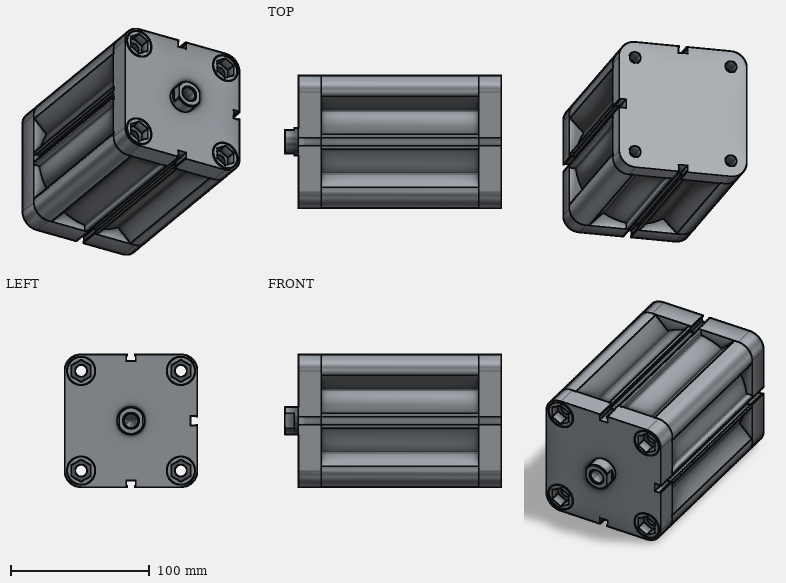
import cadquery as cq
import math


length = 156.5
side = 96.0
rod_projection = 10.0
cap_thickness = 16.5
barrel_length = length - rod_projection - 2 * cap_thickness
half_side = side / 2

bolt_pitch = 72.0
bolt_offset = bolt_pitch / 2
corner_radius = half_side - bolt_offset
bolt_hole_diameter = 8.5

hex_across_flats = 14.0
hex_depth = 8.3
head_groove_diameter = 20.7
head_diameter = 20.0
head_groove_depth = 0.5

slot_mouth = 5.6
cap_slot_width = 6.7
barrel_slot_width = 7.8
slot_lip = 1.02
cap_slot_depth = 5.2
barrel_slot_depth = 4.7
slot_edge_radius = 0.5

barrel_wall_radius = 43.5
lobe_end = 32.9
rib_width = 10.5
foot_fillet = 0.8
rib_edge_radius = 0.8

rod_diameter = 20.0
rod_chamfer = 0.6
flat_width = 17.0
flat_length = 6.9
thread_diameter = 10.3
thread_mouth_diameter = 11.9
thread_depth = 18.8
drill_point_angle = 118.0

front_face = rod_projection
barrel_start = front_face + cap_thickness
barrel_end = barrel_start + barrel_length

all_sides = (0, 90, 180, 270)
cap_slot_sides = (0, 90, 180)


def section(x):
    """Workplane across the cylinder at station x: local x is Y, local y is Z."""
    return cq.Workplane("YZ", origin=(x, 0, 0))


def bolt_points(plane):
    """Put the four bolt axes on the stack of a cross-section workplane."""
    return plane.rect(bolt_pitch, bolt_pitch, forConstruction=True).vertices()


def turn(body, angle):
    """Turn a body about the cylinder axis by an angle in degrees."""
    return body.rotate((0, 0, 0), (1, 0, 0), angle)


def bolt_holes(x, depth):
    return bolt_points(section(x)).circle(bolt_hole_diameter / 2).extrude(depth)


def slot_cutter(x, depth_x, slot_width, slot_depth):
    """Lipped slot along X, opening on the +Z side."""
    floor = half_side - slot_depth
    undercut_height = slot_depth - slot_lip
    mouth = section(x).center(0, floor + slot_depth / 2).rect(slot_mouth, slot_depth).extrude(depth_x)
    undercut = (
        section(x).center(0, floor + undercut_height / 2).rect(slot_width, undercut_height).extrude(depth_x)
    )
    return mouth.union(undercut)


def make_cap(x):
    cap = section(x).rect(side, side).extrude(cap_thickness).edges("|X").fillet(corner_radius)
    cap = cap.cut(bolt_holes(x, cap_thickness))
    slot = slot_cutter(x, cap_thickness, cap_slot_width, cap_slot_depth)
    for angle in cap_slot_sides:
        cap = cap.cut(turn(slot, angle))
    return cap


def make_front_cap():
    cap = make_cap(front_face)
    grooves = bolt_points(section(front_face)).circle(head_groove_diameter / 2).extrude(head_groove_depth)
    heads = bolt_points(section(front_face)).circle(head_diameter / 2).extrude(head_groove_depth)
    cap = cap.cut(grooves.cut(heads))
    hexagon = section(front_face).polygon(6, hex_across_flats / math.cos(math.pi / 6)).extrude(hex_depth)
    socket = turn(hexagon, 90)
    for y in (-bolt_offset, bolt_offset):
        for z in (-bolt_offset, bolt_offset):
            cap = cap.cut(socket.translate((0, y, z)))
    return cap.cut(section(front_face).circle(rod_diameter / 2).extrude(cap_thickness))


def corner_lobe():
    """Lobe in the +Y +Z corner: round about the bolt, with flanks at 45 degrees running into the wall."""
    lobe_height = bolt_offset + math.sqrt(corner_radius**2 - (lobe_end - bolt_offset) ** 2)
    tip = bolt_offset + corner_radius / math.sqrt(2)
    inward = lobe_end / 2
    return (
        section(barrel_start)
        .moveTo(lobe_end, lobe_height)
        .threePointArc((tip, tip), (lobe_height, lobe_end))
        .lineTo(lobe_height - inward, lobe_end - inward)
        .lineTo(lobe_end - inward, lobe_height - inward)
        .close()
        .extrude(barrel_length)
    )


def slotted_rib():
    """Rib on the +Z side with rounded outer edges, before its slot is cut."""
    rib = section(barrel_start).center(0, half_side / 2).rect(rib_width, half_side).extrude(barrel_length)
    return rib.faces(">Z").edges("|X").fillet(rib_edge_radius)


def lies_on_wall(edge):
    """True for an edge on the round barrel wall, where a lobe or rib meets it."""
    center = edge.Center()
    return abs(math.hypot(center.y, center.z) - barrel_wall_radius) < 0.02


def mouth_rounding():
    """Flare with two convex quarter rounds at the mouth of the barrel slot on the +Z side."""
    mouth = slot_mouth / 2
    outer = mouth + slot_edge_radius
    shoulder = half_side - slot_edge_radius
    return (
        section(barrel_start)
        .moveTo(-outer, half_side)
        .radiusArc((-mouth, shoulder), slot_edge_radius)
        .lineTo(mouth, shoulder)
        .radiusArc((outer, half_side), slot_edge_radius)
        .close()
        .extrude(barrel_length)
    )


def make_barrel():
    barrel = section(barrel_start).circle(barrel_wall_radius).extrude(barrel_length)
    lobe = corner_lobe()
    rib = slotted_rib()
    for angle in all_sides:
        barrel = barrel.union(turn(lobe, angle)).union(turn(rib, angle))
    barrel = barrel.edges("|X").filter(lies_on_wall).fillet(foot_fillet)
    slot = slot_cutter(barrel_start, barrel_length, barrel_slot_width, barrel_slot_depth)
    rounding = mouth_rounding()
    for angle in all_sides:
        barrel = barrel.cut(turn(slot, angle)).cut(turn(rounding, angle))
    return barrel.cut(bolt_holes(barrel_start, barrel_length))


def make_rod():
    rod = section(0).circle(rod_diameter / 2).extrude(barrel_start).faces("<X").chamfer(rod_chamfer)
    across = section(0).rect(flat_width, 2 * rod_diameter).extrude(flat_length)
    rod = rod.cut(section(0).rect(2 * rod_diameter, 2 * rod_diameter).extrude(flat_length).cut(across))
    bore = thread_diameter / 2
    mouth = thread_mouth_diameter / 2
    point_length = bore / math.tan(math.radians(drill_point_angle / 2))
    hole = (
        cq.Workplane("XY")
        .polyline([
            (0, 0),
            (0, mouth),
            (mouth - bore, bore),
            (thread_depth, bore),
            (thread_depth + point_length, 0),
        ])
        .close()
        .revolve(360, (0, 0, 0), (1, 0, 0))
    )
    return rod.cut(hole)


front_cap = make_front_cap()
barrel = make_barrel()
rear_cap = make_cap(barrel_end)
rod = make_rod()

result = cq.Compound.makeCompound([front_cap.val(), barrel.val(), rear_cap.val(), rod.val()])